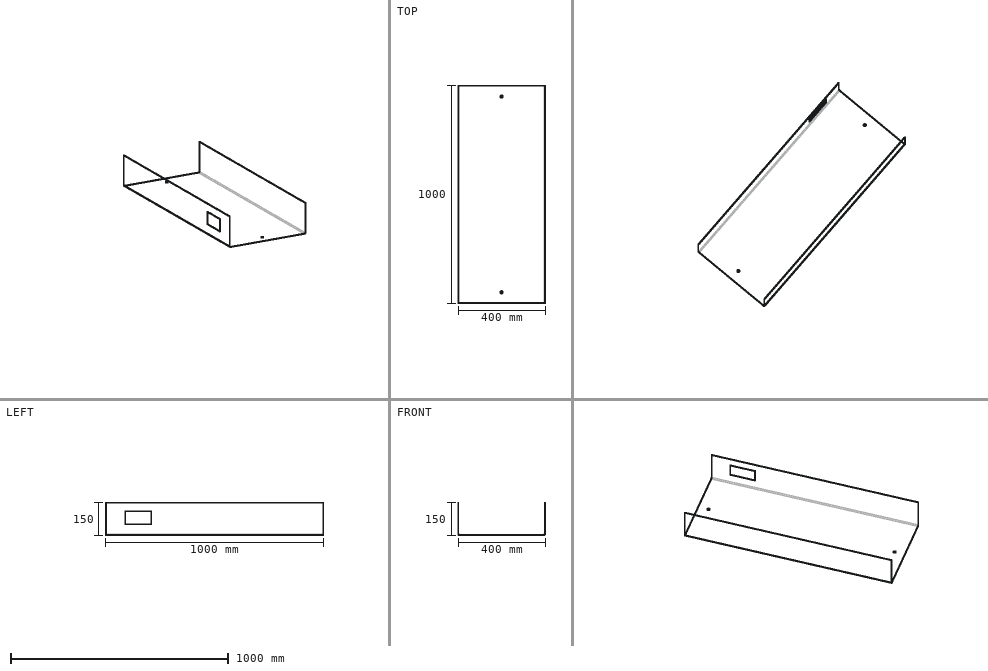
import cadquery as cq

length = 1000.0
width = 400.0
height = 150.0
sheet = 2.0
outer_bend_radius = 6.0
inner_bend_radius = outer_bend_radius - sheet

hole_diameter = 10.0
hole_end_distance = 50.0

window_length = 120.0
window_height = 60.0
window_end_distance = 90.0
window_bottom = 50.0


def rounded_bar(bar_width, bottom, radius):
    """Full-length bar with its two lower long edges rounded."""
    return (
        cq.Workplane("XY")
        .box(bar_width, length, height - bottom, centered=(True, True, False))
        .translate((0, 0, bottom))
        .edges("|Y and <Z")
        .fillet(radius)
    )


outside = rounded_bar(width, 0, outer_bend_radius)
inside = rounded_bar(width - 2 * sheet, sheet, inner_bend_radius)
channel = outside.cut(inside)

hole_y = length / 2 - hole_end_distance
holes = (
    cq.Workplane("XY")
    .pushPoints([(0, -hole_y), (0, hole_y)])
    .circle(hole_diameter / 2)
    .extrude(2 * sheet)
)

window = cq.Workplane("XY").box(4 * sheet, window_length, window_height).translate(
    (
        width / 2,
        length / 2 - window_end_distance - window_length / 2,
        window_bottom + window_height / 2,
    )
)

result = channel.cut(holes).cut(window)